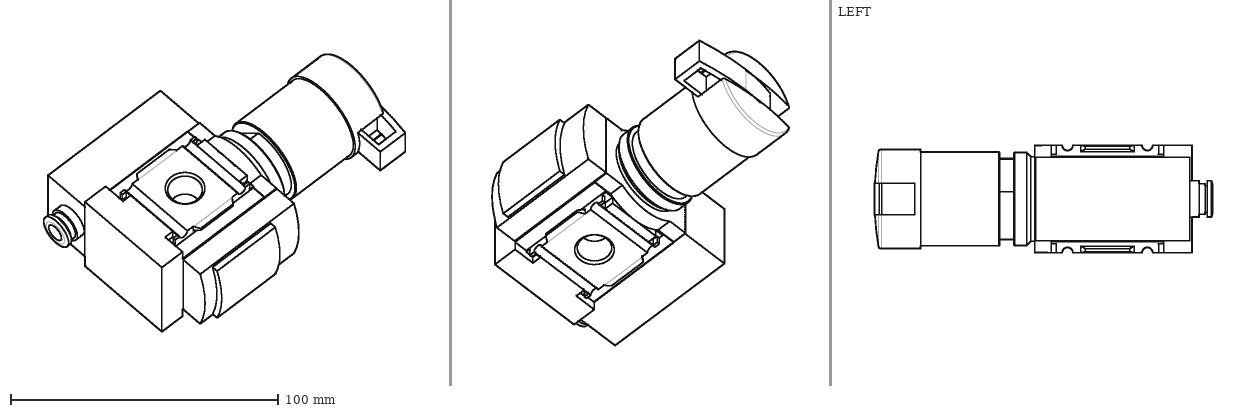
import cadquery as cq
import math


body_width = 42.0
body_half_height = 20.1
body_front_y = -31.6
body_back_y = 27.2
pad_half_length = 21.0
pad_half_width = 15.1
shelf_half_height = 16.0
shoulder_half_height = 15.7

groove_diameter = 3.9
groove_offset_y = 15.0
pocket_depth = 3.4
pocket_width = 3.5
pocket_gap_to_groove = 0.3
stub_width = 1.1
stub_length = 2.0
tab_reach = 2.4
tab_root_half_length = 10.0
tab_tip_half_length = 8.4
tab_tip_drop = 0.4
tab_tip_thickness = 1.1
tab_root_thickness = 2.5

port_mouth_diameter = 14.8
port_thread_diameter = 12.9
port_bore_diameter = 11.5
port_chamfer_depth = 1.0
port_depth = 11.4

outlet_left_x = -42.0
outlet_front_y = -30.9
outlet_back_y = 26.8
outlet_half_height = 15.6
fitting_x = -29.1
fitting_end_y = -39.4
fitting_diameter = 13.7
fitting_sleeve_diameter = 11.5
fitting_groove_diameter = 10.0
fitting_bore_diameter = 7.0
fitting_bore_depth = 7.6
fitting_body_length = 3.4
fitting_sleeve_length = 2.3
fitting_groove_length = 0.8
fitting_rim_length = 1.5

collar_diameter = 31.6
collar_end_y = 28.6
nut_diameter = 35.0
nut_end_y = 35.1
spindle_diameter = 30.4
spindle_end_y = 40.3
spindle_flat_distance = 12.5
spindle_flat_angle = 45
knob_diameter = 35.2
knob_end_y = 69.9
edge_break = 0.4
cap_diameter = 37.2
cap_rim_y = 85.6
cap_top_y = 87.2
cap_edge_radius = 1.0

slot_width = 11.8
slot_floor_y = 72.2
slot_clearance = 1.3
lever_left_x = -8.2
lever_left_y = 84.5
lever_peak_x = 7.3
lever_right_x = 29.9
lever_right_y = 85.1
lever_corner = 0.9
window_left_x = 15.2
lever_roof_thickness = 2.7
lever_end_thickness = 2.9
lever_floor_thickness = 1.9

gauge_gap = 0.3
gauge_half_height = outlet_half_height
gauge_edge_x = 30.6
gauge_crown_x = 33.3
display_half_length = 15.0
display_half_height = 14.7
display_edge_x = 33.4
display_crown_x = 36.0

body_half_width = body_width / 2
groove_radius = groove_diameter / 2


def box(x_range, y_range, z_range):
    """Block between the given limits on each axis."""
    lengths = [end - start for start, end in (x_range, y_range, z_range)]
    corner = (x_range[0], y_range[0], z_range[0])
    return cq.Workplane("XY").box(*lengths, centered=False).translate(corner)


def mirror_both_ways(shape):
    """Shape together with its copy below the XY plane."""
    return shape.union(shape.mirror("XY"))


def body_core():
    """Full-height front, middle mounting pad, side shelves and shoulders."""
    front = box(
        (-body_half_width, body_half_width),
        (body_front_y, -pad_half_length),
        (-body_half_height, body_half_height),
    )
    pad = box(
        (-pad_half_width, pad_half_width),
        (-pad_half_length, pad_half_length),
        (-body_half_height, body_half_height),
    )
    shelf = box(
        (-body_half_width, body_half_width),
        (-pad_half_length, pad_half_length),
        (-shelf_half_height, shelf_half_height),
    )
    shoulder = box(
        (-body_half_width, body_half_width),
        (pad_half_length, body_back_y),
        (-shoulder_half_height, shoulder_half_height),
    )
    neck_root = (
        cq.Workplane("XZ", origin=(0, pad_half_length, 0))
        .circle(body_half_height)
        .extrude(pad_half_length - body_back_y)
    )
    return front.union(pad).union(shelf).union(shoulder).union(neck_root)


def pad_grooves():
    """Round grooves that cross both pads along X."""
    return (
        cq.Workplane("YZ", origin=(-pad_half_width, 0, 0))
        .pushPoints(
            [
                (side_y * groove_offset_y, side_z * body_half_height)
                for side_y in (-1, 1)
                for side_z in (-1, 1)
            ]
        )
        .circle(groove_radius)
        .extrude(2 * pad_half_width)
    )


def pad_corner_pocket():
    """Pocket in one top pad corner, leaving a stub beside the groove."""
    inner_y = groove_offset_y + groove_radius + pocket_gap_to_groove
    depth_range = (body_half_height - pocket_depth, body_half_height)
    pocket = box(
        (pad_half_width - pocket_width, pad_half_width), (inner_y, pad_half_length), depth_range
    )
    stub = box(
        (pad_half_width - stub_width, pad_half_width), (inner_y, inner_y + stub_length), depth_range
    )
    return pocket.cut(stub)


def pad_corner_pockets():
    """The same pocket in all four corners of both pads."""
    right_pair = pad_corner_pocket()
    right_pair = right_pair.union(right_pair.mirror("XZ"))
    return mirror_both_ways(right_pair.union(right_pair.mirror("YZ")))


def pad_tabs():
    """Dovetail tabs along the two side edges of each pad."""
    tip_x = pad_half_width + tab_reach
    tip_top_z = body_half_height - tab_tip_drop
    wedge = (
        cq.Workplane("XZ", origin=(0, tab_root_half_length, 0))
        .moveTo(pad_half_width, body_half_height)
        .lineTo(tip_x, tip_top_z)
        .lineTo(tip_x, tip_top_z - tab_tip_thickness)
        .lineTo(pad_half_width, body_half_height - tab_root_thickness)
        .close()
        .extrude(2 * tab_root_half_length)
    )
    plan = (
        cq.Workplane("XY")
        .moveTo(pad_half_width, -tab_root_half_length)
        .lineTo(tip_x, -tab_tip_half_length)
        .lineTo(tip_x, tab_tip_half_length)
        .lineTo(pad_half_width, tab_root_half_length)
        .close()
        .extrude(body_half_height)
    )
    tab = wedge.intersect(plan)
    return mirror_both_ways(tab.union(tab.mirror("YZ")))


def supply_ports():
    """Tapered blind ports from the top and the bottom pad."""
    port = (
        cq.Workplane("XZ")
        .moveTo(0, body_half_height)
        .lineTo(port_mouth_diameter / 2, body_half_height)
        .lineTo(port_thread_diameter / 2, body_half_height - port_chamfer_depth)
        .lineTo(port_bore_diameter / 2, body_half_height - port_depth)
        .lineTo(0, body_half_height - port_depth)
        .close()
        .revolve(360, (0, 0, 0), (0, 1, 0))
    )
    return mirror_both_ways(port)


def outlet_block():
    """Plain block on the left side of the body."""
    return box(
        (outlet_left_x, -body_half_width),
        (outlet_front_y, outlet_back_y),
        (-outlet_half_height, outlet_half_height),
    )


def fitting():
    """Push-in fitting on the front of the outlet block."""
    body_end = outlet_front_y - fitting_body_length
    sleeve_end = body_end - fitting_sleeve_length
    groove_end = sleeve_end - fitting_groove_length
    rim_end = groove_end - fitting_rim_length
    rim_radius = fitting_diameter / 2
    turned = (
        cq.Workplane("XY")
        .moveTo(0, fitting_end_y)
        .lineTo(fitting_groove_diameter / 2, fitting_end_y)
        .tangentArcPoint((rim_radius, rim_end), relative=False)
        .lineTo(rim_radius, groove_end)
        .lineTo(fitting_groove_diameter / 2, groove_end)
        .lineTo(fitting_groove_diameter / 2, sleeve_end)
        .lineTo(fitting_sleeve_diameter / 2, sleeve_end)
        .lineTo(fitting_sleeve_diameter / 2, body_end)
        .lineTo(rim_radius, body_end)
        .lineTo(rim_radius, outlet_front_y)
        .lineTo(0, outlet_front_y)
        .close()
        .revolve(360, (0, 0, 0), (0, 1, 0))
    )
    bore = (
        cq.Workplane("XZ", origin=(0, fitting_end_y + fitting_bore_depth, 0))
        .circle(fitting_bore_diameter / 2)
        .extrude(fitting_bore_depth)
    )
    return turned.cut(bore).translate((fitting_x, 0, 0))


def turned_stage(diameter, start_y, end_y):
    """Cylinder on the knob axis."""
    return (
        cq.Workplane("XZ", origin=(0, start_y, 0)).circle(diameter / 2).extrude(start_y - end_y)
    )


def neck():
    """Collar, conical nut and flatted spindle between body and knob."""
    collar = turned_stage(collar_diameter, body_back_y, collar_end_y)
    nut = turned_stage(nut_diameter, collar_end_y, nut_end_y)
    nut = nut.faces("<Y").chamfer((nut_diameter - collar_diameter) / 2)
    nut = nut.faces(">Y").chamfer(edge_break)
    spindle = turned_stage(spindle_diameter, nut_end_y, spindle_end_y)
    flat_cutter = box(
        (-spindle_diameter, -spindle_flat_distance),
        (nut_end_y, spindle_end_y),
        (-spindle_diameter, spindle_diameter),
    ).rotate((0, 0, 0), (0, 1, 0), spindle_flat_angle)
    return collar.union(nut).union(spindle.cut(flat_cutter))


def cap():
    """Domed cap with a slot along X for the lever."""
    radius = cap_diameter / 2
    dome_radius = (radius**2 + (cap_top_y - cap_rim_y) ** 2) / (2 * (cap_top_y - cap_rim_y))
    dome_middle_x = radius / 2
    dome_middle_y = cap_top_y - dome_radius + math.sqrt(dome_radius**2 - dome_middle_x**2)
    domed = (
        cq.Workplane("XY")
        .moveTo(0, knob_end_y)
        .lineTo(radius, knob_end_y)
        .lineTo(radius, cap_rim_y)
        .threePointArc((dome_middle_x, dome_middle_y), (0, cap_top_y))
        .close()
        .revolve(360, (0, 0, 0), (0, 1, 0))
    )
    domed = domed.faces("%CYLINDER").edges(">Y").fillet(cap_edge_radius)
    slot = box(
        (-cap_diameter, cap_diameter),
        (slot_floor_y, cap_top_y + slot_clearance),
        (-slot_width / 2, slot_width / 2),
    )
    return domed.cut(slot)


def lever():
    """Locking lever that fills the slot and ends in an open loop."""
    drop = cap_top_y - lever_right_y
    reach = lever_right_x - lever_peak_x
    roof_radius = (reach**2 + drop**2) / (2 * drop)
    roof_centre_y = cap_top_y - roof_radius

    def roof_y(x, thickness=0):
        radius = roof_radius - thickness
        return roof_centre_y + math.sqrt(radius**2 - (x - lever_peak_x) ** 2)

    window_right_x = lever_right_x - lever_end_thickness
    window_floor_y = slot_floor_y + lever_floor_thickness
    roof_middle_x = (lever_peak_x + lever_right_x) / 2
    window_middle_x = (window_left_x + window_right_x) / 2
    plane = cq.Workplane("XY", origin=(0, 0, -slot_width / 2))
    outline = (
        plane.moveTo(lever_left_x, slot_floor_y)
        .lineTo(lever_right_x, slot_floor_y)
        .lineTo(lever_right_x, lever_right_y)
        .threePointArc((roof_middle_x, roof_y(roof_middle_x)), (lever_peak_x, cap_top_y))
        .tangentArcPoint((lever_left_x + lever_corner, lever_left_y + lever_corner), relative=False)
        .lineTo(lever_left_x, lever_left_y)
        .close()
        .extrude(slot_width)
    )
    roof = lever_roof_thickness
    window = (
        plane.moveTo(window_left_x, window_floor_y)
        .lineTo(window_right_x, window_floor_y)
        .lineTo(window_right_x, roof_y(window_right_x, roof))
        .threePointArc(
            (window_middle_x, roof_y(window_middle_x, roof)),
            (window_left_x, roof_y(window_left_x, roof)),
        )
        .close()
        .extrude(slot_width)
    )
    return outline.cut(window)


def knob():
    """Grip cylinder, cap and lever."""
    grip = turned_stage(knob_diameter, spindle_end_y, knob_end_y)
    grip = grip.faces("<Y").chamfer(edge_break)
    return grip.union(cap()).union(lever())


def regulator():
    """Body, outlet block, fitting, neck and knob in one solid."""
    shape = body_core().cut(pad_grooves()).cut(pad_corner_pockets()).cut(supply_ports())
    for addition in (pad_tabs(), outlet_block(), fitting(), neck(), knob()):
        shape = shape.union(addition)
    return shape


def bowed_plate(start_x, edge_x, crown_x, half_height, y_range):
    """Plate with an outer face that bows out towards +X."""
    back_y = y_range[1]
    return (
        cq.Workplane("XZ", origin=(0, back_y, 0))
        .moveTo(start_x, -half_height)
        .lineTo(edge_x, -half_height)
        .threePointArc((crown_x, 0), (edge_x, half_height))
        .lineTo(start_x, half_height)
        .close()
        .extrude(back_y - y_range[0])
    )


def gauge():
    """Gauge housing with its raised display."""
    housing = bowed_plate(
        body_half_width + gauge_gap,
        gauge_edge_x,
        gauge_crown_x,
        gauge_half_height,
        (-pad_half_length, body_back_y),
    )
    display = bowed_plate(
        gauge_edge_x,
        display_edge_x,
        display_crown_x,
        display_half_height,
        (-display_half_length, display_half_length),
    )
    return housing.union(display)


result = cq.Compound.makeCompound([regulator().val(), gauge().val()])